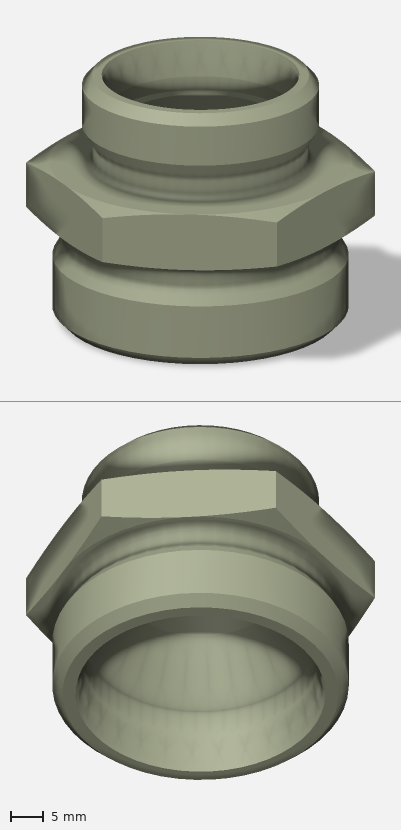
import cadquery as cq
import math

total_height = 39.0
hex_corner_width = 53.1
hex_flat_width = hex_corner_width * math.cos(math.radians(30))

hex_bottom = 16.0
hex_top = 25.0
hex_chamfer_angle = 15.0

tip_chamfer_height = 1.6
tip_chamfer_width = 1.55
neck_fillet = 1.05
lower_diameter = 45.0
lower_neck_diameter = 42.0
lower_thread_top = 9.95
upper_diameter = 36.0
upper_neck_diameter = 33.0
upper_thread_bottom = 31.1
shoulder_angle = 30.0
shoulder_blend_radius = 1.3

bore_diameter = 24.0
upper_mouth_diameter = 30.0
upper_seat_diameter = 28.0
upper_taper_depth = 5.45
upper_seat_depth = 7.65
lower_mouth_diameter = 37.95
lower_seat_diameter = 35.3
lower_taper_depth = 6.1
lower_seat_depth = 10.5
bore_bottom = 20.75


def cone(bottom_diameter, top_diameter, bottom, top):
    """Solid cone frustum about Z."""
    return (
        cq.Workplane("XZ")
        .moveTo(0, bottom)
        .lineTo(bottom_diameter / 2, bottom)
        .lineTo(top_diameter / 2, top)
        .lineTo(0, top)
        .close()
        .revolve(360, (0, 0, 0), (0, 1, 0))
    )


def cylinder(diameter, bottom, top):
    """Solid cylinder about Z."""
    return cq.Workplane("XY").workplane(offset=bottom).circle(diameter / 2).extrude(top - bottom)


def threaded_end(tip, thread_end, collar, diameter, neck_diameter):
    """Turned end running from its tip to the collar face, on either side of the collar."""
    toward_collar = math.copysign(1, collar - tip)
    radius = diameter / 2
    neck_radius = neck_diameter / 2
    angle = math.radians(shoulder_angle)
    corner = thread_end + toward_collar * (radius - neck_radius) / math.tan(angle)

    blend_center_radius = neck_radius + shoulder_blend_radius
    blend_end = corner + toward_collar * shoulder_blend_radius * math.tan(angle / 2)

    def blend_point(turn):
        return (
            blend_center_radius - shoulder_blend_radius * math.cos(turn),
            blend_end - toward_collar * shoulder_blend_radius * math.sin(turn),
        )

    fillet_start = collar - toward_collar * neck_fillet
    fillet_middle = neck_fillet * (1 - math.sqrt(0.5))
    return (
        cq.Workplane("XZ")
        .moveTo(0, tip)
        .lineTo(radius - tip_chamfer_width, tip)
        .lineTo(radius, tip + toward_collar * tip_chamfer_height)
        .lineTo(radius, thread_end)
        .lineTo(*blend_point(angle))
        .threePointArc(blend_point(angle / 2), blend_point(0))
        .lineTo(neck_radius, fillet_start)
        .threePointArc(
            (neck_radius + fillet_middle, collar - toward_collar * fillet_middle),
            (neck_radius + neck_fillet, collar),
        )
        .lineTo(0, collar)
        .close()
        .revolve(360, (0, 0, 0), (0, 1, 0))
    )


def hex_collar():
    """Hexagon with corners on the Y axis and both end faces chamfered conically."""
    height = hex_top - hex_bottom
    prism = (
        cq.Workplane("XY")
        .workplane(offset=hex_bottom)
        .polygon(6, hex_corner_width)
        .extrude(height)
        .rotate((0, 0, 0), (0, 0, 1), 90)
    )
    middle = (hex_bottom + hex_top) / 2
    slope = math.tan(math.radians(hex_chamfer_angle))
    middle_diameter = hex_flat_width + height / slope
    envelope = cone(hex_flat_width, middle_diameter, hex_bottom, middle).union(
        cone(middle_diameter, hex_flat_width, middle, hex_top)
    )
    return prism.intersect(envelope)


def bores():
    """Through bore with a tapered mouth and a tube seat at each end."""
    upper_seat = total_height - upper_seat_depth
    upper_taper_end = total_height - upper_taper_depth
    return (
        cylinder(bore_diameter, bore_bottom, upper_seat)
        .union(cylinder(upper_seat_diameter, upper_seat, upper_taper_end))
        .union(cone(upper_seat_diameter, upper_mouth_diameter, upper_taper_end, total_height))
        .union(cone(lower_seat_diameter, bore_diameter, lower_seat_depth, bore_bottom))
        .union(cylinder(lower_seat_diameter, lower_taper_depth, lower_seat_depth))
        .union(cone(lower_mouth_diameter, lower_seat_diameter, 0, lower_taper_depth))
    )


lower_end = threaded_end(0, lower_thread_top, hex_bottom, lower_diameter, lower_neck_diameter)
upper_end = threaded_end(
    total_height, upper_thread_bottom, hex_top, upper_diameter, upper_neck_diameter
)
result = hex_collar().union(lower_end).union(upper_end).cut(bores())